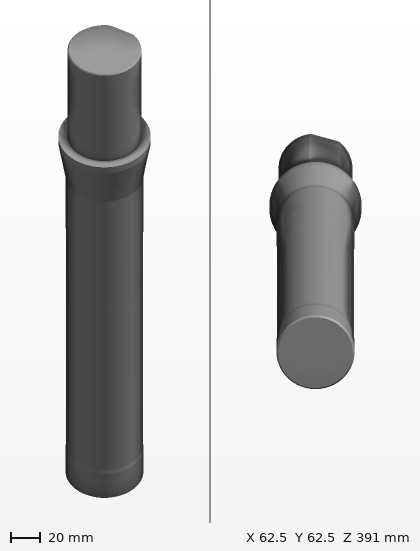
import cadquery as cq

TOTAL_HEIGHT = 391.0

BASE_RADIUS = 52.8 / 2
BARREL_RADIUS = 52.0 / 2
COLLAR_RADIUS = 62.5 / 2
BASE_CHAMFER = 1.0
BASE_TOP = 23.0
BARREL_BOTTOM = 26.5
BARREL_TOP = 165.5
NECK_BOTTOM = 270.0
NECK_TOP = 275.2
COLLAR_RIM_BOTTOM = 305.7
COLLAR_TOP = 311.2

SHAFT_RADIUS = 50.0 / 2
SHAFT_LENGTH = TOTAL_HEIGHT - COLLAR_TOP
SHAFT_CHAMFER = 0.8
FLAT_DISTANCE = 22.5
FLAT_BOTTOM_GAP = 3.5


def make_barrel():
    """Round barrel with a wider base, a slightly tapered upper half and a flared collar."""
    return (
        cq.Workplane("XZ")
        .moveTo(0, 0)
        .lineTo(BASE_RADIUS - BASE_CHAMFER, 0)
        .lineTo(BASE_RADIUS, BASE_CHAMFER)
        .lineTo(BASE_RADIUS, BASE_TOP)
        .lineTo(BARREL_RADIUS, BARREL_BOTTOM)
        .lineTo(BARREL_RADIUS, BARREL_TOP)
        .lineTo(BASE_RADIUS, NECK_BOTTOM)
        .lineTo(BASE_RADIUS, NECK_TOP)
        .lineTo(COLLAR_RADIUS, COLLAR_RIM_BOTTOM)
        .lineTo(COLLAR_RADIUS, COLLAR_TOP)
        .lineTo(0, COLLAR_TOP)
        .close()
        .revolve(360, (0, 0, 0), (0, 1, 0))
    )


def make_shaft():
    """Round shaft with a chamfered top and a flat that stops just above the collar."""
    shaft = (
        cq.Workplane("XY")
        .workplane(offset=COLLAR_TOP)
        .circle(SHAFT_RADIUS)
        .extrude(SHAFT_LENGTH)
        .faces(">Z")
        .chamfer(SHAFT_CHAMFER)
    )
    flat_cutter = cq.Workplane("XY").box(
        2 * SHAFT_RADIUS, SHAFT_RADIUS, SHAFT_LENGTH, centered=(True, False, False)
    )
    return shaft.cut(flat_cutter.translate((0, FLAT_DISTANCE, COLLAR_TOP + FLAT_BOTTOM_GAP)))


barrel = make_barrel()
shaft = make_shaft()

result = cq.Compound.makeCompound([barrel.val(), shaft.val()])